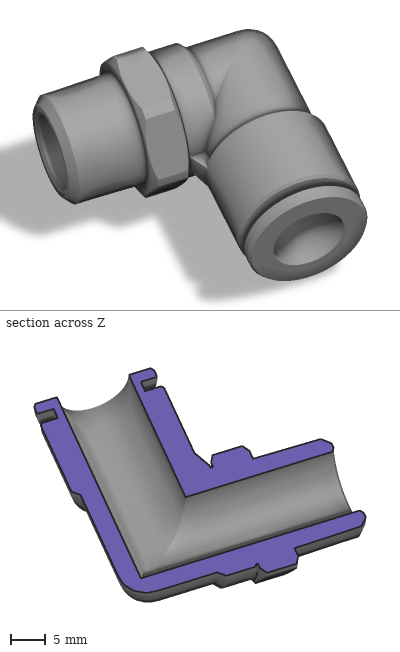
import cadquery as cq
import math

body_radius = 8.5
collar_radius = 19.0 / 2
bore_radius = 11.0 / 2
shoulder = collar_radius - body_radius

corner_tangent = 3.95
diagonal_angle = 135

socket_start = 11.22
socket_end = 25.05
socket_edge_chamfer = 0.4
neck_radius = 13.5 / 2
ring_radius = 18.5 / 2
ring_width = 1.82
ring_chamfer = 0.55
ring_chamfer_depth = 0.4
fitting_end = 28.55

collar_start = 5.08
collar_end = 10.75
hex_start = 11.05
hex_end = 17.0
stem_end = 28.5
gap_radius = 9.1

hex_flats = 20.0
hex_corner_radius = 11.1
hex_face_radius = 9.9
hex_chamfer_angle = 30
hex_sides = 6

thread_root_radius = 8.45
thread_end_radius = 8.25
thread_tip_radius = 6.98
thread_tip_chamfer = 1.2
bore_mouth_radius = 12.2 / 2
bore_mouth_chamfer = 0.4

rib_outer = 13.1
rib_outer_depth = 9.15
rib_half_angle = 9.3


def turned_along_x(points):
    return cq.Workplane("XY").polyline(points).close().revolve(360, (0, 0, 0), (1, 0, 0))


def turned_along_stem(points):
    """Revolve (radius, distance down the stem) points about the Y axis."""
    outline = [(radius, -distance) for radius, distance in points]
    return cq.Workplane("XY").polyline(outline).close().revolve(360, (0, 0, 0), (0, 1, 0))


def make_socket():
    ring_start = fitting_end - ring_width
    return turned_along_x([
        (0, 0),
        (0, body_radius),
        (socket_start, body_radius),
        (socket_start + shoulder, collar_radius),
        (socket_end - socket_edge_chamfer, collar_radius),
        (socket_end, collar_radius - socket_edge_chamfer),
        (socket_end, neck_radius),
        (ring_start, neck_radius),
        (ring_start, ring_radius),
        (fitting_end - ring_chamfer, ring_radius),
        (fitting_end, ring_radius - ring_chamfer_depth),
        (fitting_end, 0),
    ])


def make_stem():
    return turned_along_stem([
        (0, 0),
        (body_radius, 0),
        (body_radius, collar_start),
        (collar_radius, collar_start + shoulder),
        (collar_radius, collar_end),
        (gap_radius, collar_end),
        (gap_radius, hex_start),
        (thread_root_radius, hex_end),
        (thread_end_radius, stem_end - thread_tip_chamfer),
        (thread_tip_radius, stem_end),
        (0, stem_end),
    ])


def make_corner():
    """Round the outer corner with an ellipsoid tangent to both pipes."""
    size = 2 * body_radius
    ratio = corner_tangent / body_radius
    tube_tangent = (-size * ratio, size)
    stem_tangent = (-size, size * ratio)

    def zone(*points):
        return cq.Workplane("XY").polyline([(0, 0), *points]).close().extrude(body_radius, both=True)

    tube_pipe = cq.Workplane("YZ").circle(body_radius).extrude(-size)
    stem_pipe = cq.Workplane("XZ").circle(body_radius).extrude(-size)
    tube_part = tube_pipe.intersect(zone(tube_tangent, (0, size)))
    stem_part = stem_pipe.intersect(zone(stem_tangent, (-size, 0)))

    long_scale = math.sqrt(1 + ratio)
    short_scale = math.sqrt(1 - ratio)
    stretch = cq.Matrix([
        [long_scale, 0, 0, 0],
        [0, short_scale, 0, 0],
        [0, 0, 1, 0],
    ])
    ellipsoid = cq.Workplane("XY").sphere(body_radius).val().transformGeometry(stretch)
    ellipsoid = ellipsoid.rotate(cq.Vector(0, 0, 0), cq.Vector(0, 0, 1), diagonal_angle)
    corner_zone = zone(tube_tangent, (-size, size), stem_tangent)
    rounded = corner_zone.intersect(cq.Workplane("XY").newObject([ellipsoid]))
    return rounded.union(tube_part).union(stem_part)


def make_hex():
    length = hex_end - hex_start
    chamfer = (hex_corner_radius - hex_face_radius) * math.tan(math.radians(hex_chamfer_angle))
    prism = (
        cq.Workplane("XZ", origin=(0, -hex_start, 0))
        .polygon(hex_sides, hex_flats / math.cos(math.pi / hex_sides))
        .extrude(length)
    )
    envelope = turned_along_stem([
        (0, hex_start),
        (hex_face_radius, hex_start),
        (hex_corner_radius, hex_start + chamfer),
        (hex_corner_radius, hex_end - chamfer),
        (hex_face_radius, hex_end),
        (0, hex_end),
    ])
    return prism.intersect(envelope)


def make_rib():
    half_width = rib_outer * math.tan(math.radians(rib_half_angle))
    profile = (
        cq.Workplane("XY")
        .polyline([
            (bore_radius, -bore_radius),
            (rib_outer, -bore_radius),
            (rib_outer, -rib_outer_depth),
            (collar_radius, -collar_end),
            (bore_radius, -collar_end),
        ])
        .close()
        .extrude(half_width, both=True)
    )
    radial_sides = (
        cq.Workplane("XZ")
        .polyline([(0, 0), (rib_outer, half_width), (rib_outer, -half_width)])
        .close()
        .extrude(collar_end)
    )
    return profile.intersect(radial_sides)


def make_bores():
    """Two equal bores meeting in a mitre, with a chamfered mouth at the thread."""
    tube_bore = cq.Workplane("YZ").circle(bore_radius).extrude(fitting_end)
    stem_bore = turned_along_stem([
        (0, 0),
        (bore_radius, 0),
        (bore_radius, stem_end - bore_mouth_chamfer),
        (bore_mouth_radius, stem_end),
        (0, stem_end),
    ])
    crossing = (
        cq.Workplane("YZ").circle(bore_radius).extrude(bore_radius, both=True)
        .intersect(cq.Workplane("XZ").circle(bore_radius).extrude(bore_radius, both=True))
    )
    return tube_bore.union(stem_bore).union(crossing)


body = make_socket().union(make_stem()).union(make_corner()).union(make_hex()).union(make_rib())
result = body.cut(make_bores())